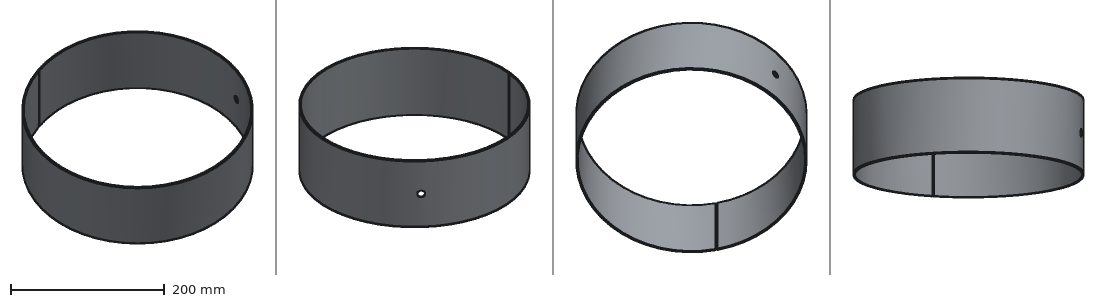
import cadquery as cq
import math

outer_diameter = 300.0
height = 100.0
wall = 2.5
outer_bevel_height = 1.8
outer_bevel_angle = 20.0
inner_chamfer = 0.8
slit_angle = 1.0
hole_diameter = 10.0
hole_angle = 59.0

outer_radius = outer_diameter / 2
inner_radius = outer_radius - wall
outer_bevel_inset = outer_bevel_height * math.tan(math.radians(outer_bevel_angle))
mid_radius = outer_radius - wall / 2
cutter_length = 4 * wall


def make_split_ring():
    """Split ring swept from a wall section chamfered inside and bevelled outside at both ends.

    The sweep starts at -X and stops short of a full turn, which leaves the slit on its +Y side.
    """
    section = [
        (inner_radius + inner_chamfer, 0),
        (outer_radius - outer_bevel_inset, 0),
        (outer_radius, outer_bevel_height),
        (outer_radius, height - outer_bevel_height),
        (outer_radius - outer_bevel_inset, height),
        (inner_radius + inner_chamfer, height),
        (inner_radius, height - inner_chamfer),
        (inner_radius, inner_chamfer),
    ]
    sweep_angle = 360 - slit_angle
    ring = cq.Workplane("XZ").polyline(section).close().revolve(sweep_angle, (0, 0), (0, 1))
    return ring.rotate((0, 0, 0), (0, 0, 1), 180)


def make_vent_hole():
    """Radial hole through the wall at mid-height."""
    angle = math.radians(hole_angle)
    direction = cq.Vector(math.cos(angle), math.sin(angle), 0)
    start = direction * (mid_radius - cutter_length / 2) + cq.Vector(0, 0, height / 2)
    return cq.Solid.makeCylinder(hole_diameter / 2, cutter_length, start, direction)


result = make_split_ring().cut(make_vent_hole())